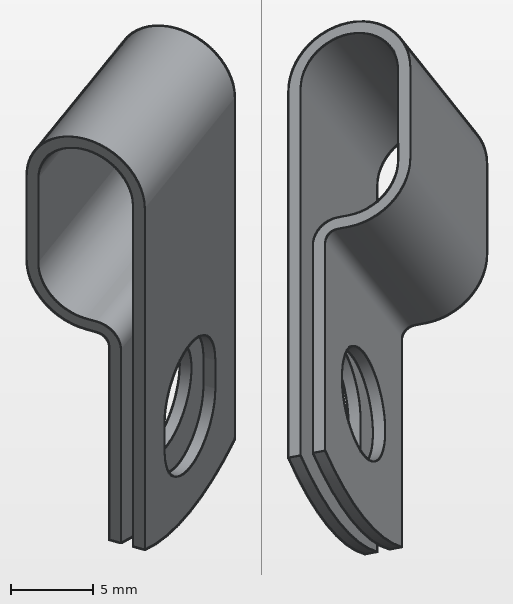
import cadquery as cq

height = 30.9
clip_width = 7.97
strip_width = 12.7
thickness = 0.8

loop_radius = clip_width / 2
inner_radius = loop_radius - thickness
lower_loop_z = 20.62
leg_gap = 0.8
bend_inner_radius = 0.8
bend_outer_radius = bend_inner_radius + thickness

hole_diameter = 7.15
hole_z = 7.95
slot_center_distance = 2.1
end_rise = 1.3

back_x = loop_radius - thickness
leg_outer_x = back_x - leg_gap
leg_inner_x = leg_outer_x - thickness
bend_x = leg_inner_x - bend_inner_radius
upper_loop_z = height - loop_radius
bend_z = lower_loop_z - loop_radius - bend_inner_radius


def make_strip():
    """Bent strip: straight back leg, loop, and short front leg."""
    outline = (
        cq.Workplane("XZ")
        .moveTo(loop_radius, 0)
        .lineTo(loop_radius, upper_loop_z)
        .threePointArc((0, height), (-loop_radius, upper_loop_z))
        .lineTo(-loop_radius, lower_loop_z)
        .radiusArc((0, lower_loop_z - loop_radius), -loop_radius)
        .lineTo(bend_x, bend_z + bend_inner_radius)
        .radiusArc((leg_inner_x, bend_z), bend_inner_radius)
        .lineTo(leg_inner_x, 0)
        .lineTo(leg_outer_x, 0)
        .lineTo(leg_outer_x, bend_z)
        .radiusArc((bend_x, bend_z + bend_outer_radius), -bend_outer_radius)
        .lineTo(0, lower_loop_z - inner_radius)
        .radiusArc((-inner_radius, lower_loop_z), inner_radius)
        .lineTo(-inner_radius, upper_loop_z)
        .threePointArc((0, upper_loop_z + inner_radius), (back_x, upper_loop_z))
        .lineTo(back_x, 0)
        .close()
    )
    return outline.extrude(strip_width / 2, both=True)


def make_end_envelope():
    """Block with a curved bottom that rounds both leg ends."""
    half_width = strip_width / 2
    return (
        cq.Workplane("YZ")
        .moveTo(-half_width, end_rise)
        .threePointArc((0, 0), (half_width, end_rise))
        .lineTo(half_width, height)
        .lineTo(-half_width, height)
        .close()
        .extrude(clip_width, both=True)
    )


def make_hole_cutter():
    """Cylinder passing through the front leg only."""
    return (
        cq.Workplane("YZ", origin=(leg_inner_x, 0, hole_z))
        .circle(hole_diameter / 2)
        .extrude(thickness)
    )


def make_slot_cutter():
    """Upright round-ended slot passing through the back leg only."""
    slot_length = hole_diameter + slot_center_distance
    return (
        cq.Workplane("YZ", origin=(back_x, 0, hole_z))
        .slot2D(slot_length, hole_diameter, angle=90)
        .extrude(thickness)
    )


strip = make_strip().intersect(make_end_envelope())
result = strip.cut(make_hole_cutter()).cut(make_slot_cutter())